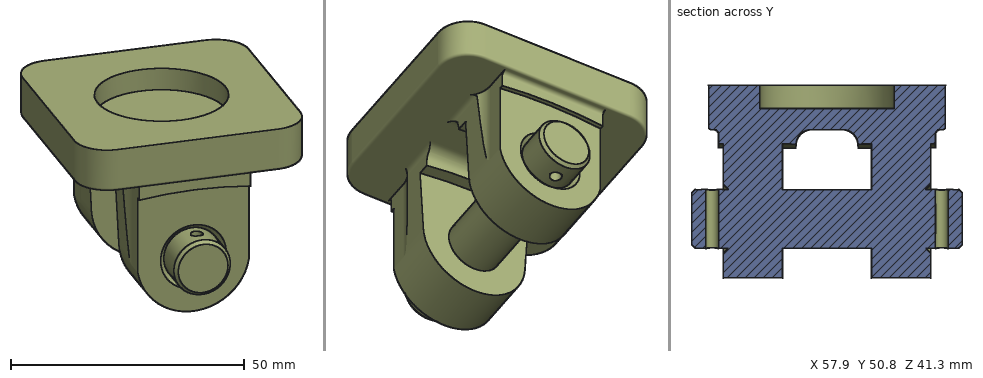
import cadquery as cq
import math


PLATE_SIDE = 50.8
PLATE_CORNER_RADIUS = 7.35
PLATE_BOTTOM = 19.05
PLATE_TOP = 28.6
PLATE_EDGE_RADIUS = 0.65
POCKET_DIAMETER = 28.7
POCKET_DEPTH = 5.0

PIN_DIAMETER = 12.7
PIN_LENGTH = 57.9
PIN_END_DIAMETER = 11.2
PIN_CHAMFER_LENGTH = (PIN_DIAMETER - PIN_END_DIAMETER) / 2
CROSS_HOLE_DIAMETER = 2.65
CROSS_HOLE_X = 24.55

LUG_RADIUS = 12.7
LUG_DRAFT = math.radians(3)
LUG_INNER_X = 9.5
LUG_OUTER_X = 22.25
LUG_ROOT_FILLET = 1.0
BORE_CHAMFER = 1.05

SHOULDER_OUTER_X = 23.2
SHOULDER_CROWN_Z = 16.0
SHOULDER_ARC_RADIUS = 100.0

ARCH_HALF_WIDTH = 6.6
ARCH_CORNER_RADIUS = 3.3
ARCH_DRAFT = math.radians(5)

FLAT_HALF_WIDTH = 12.5
FLAT_START_X = 18.05
FLAT_CUTTER_RADIUS = 5.8

CLEARANCE = 5.8


def mounting_plate():
    plate = (
        cq.Workplane("XY")
        .workplane(offset=PLATE_BOTTOM)
        .rect(PLATE_SIDE, PLATE_SIDE)
        .extrude(PLATE_TOP - PLATE_BOTTOM)
        .edges("|Z")
        .fillet(PLATE_CORNER_RADIUS)
    )
    return plate.faces("<Z").edges().fillet(PLATE_EDGE_RADIUS)


def tongue():
    """Round-ended bar across the full shoulder width, from which both lugs are cut."""
    tangent_y = LUG_RADIUS * math.cos(LUG_DRAFT)
    tangent_z = -LUG_RADIUS * math.sin(LUG_DRAFT)
    root_y = tangent_y + (PLATE_BOTTOM - tangent_z) * math.tan(LUG_DRAFT)
    return (
        cq.Workplane("YZ")
        .moveTo(-root_y, PLATE_BOTTOM)
        .lineTo(-tangent_y, tangent_z)
        .threePointArc((0, -LUG_RADIUS), (tangent_y, tangent_z))
        .lineTo(root_y, PLATE_BOTTOM)
        .close()
        .extrude(SHOULDER_OUTER_X, both=True)
    )


def root_edges(body):
    """Edges where the tongue meets the underside of the plate."""
    margin = 0.05
    reach = SHOULDER_OUTER_X + margin
    box = cq.selectors.BoxSelector(
        (-reach, -reach, PLATE_BOTTOM - margin),
        (reach, reach, PLATE_BOTTOM + margin),
        boundingbox=True,
    )
    return body.edges(box)


def shoulder_relief(start_x, end_x):
    """Clears everything below the arched underside of the shoulders between two X positions."""
    half_width = LUG_RADIUS + CLEARANCE
    floor_z = -LUG_RADIUS - CLEARANCE
    sag = SHOULDER_ARC_RADIUS - math.sqrt(SHOULDER_ARC_RADIUS**2 - half_width**2)
    side_z = SHOULDER_CROWN_Z - sag
    return (
        cq.Workplane("YZ")
        .workplane(offset=start_x)
        .moveTo(-half_width, floor_z)
        .lineTo(-half_width, side_z)
        .threePointArc((0, SHOULDER_CROWN_Z), (half_width, side_z))
        .lineTo(half_width, floor_z)
        .close()
        .extrude(end_x - start_x)
    )


def arch():
    """Drafted opening with rounded upper corners, running along Y under the plate."""
    bottom_z = SHOULDER_CROWN_Z - CLEARANCE
    top_z = PLATE_BOTTOM
    lean = math.tan(ARCH_DRAFT)
    bottom_x = ARCH_HALF_WIDTH + (SHOULDER_CROWN_Z - bottom_z) * lean
    top_x = ARCH_HALF_WIDTH - (top_z - SHOULDER_CROWN_Z) * lean
    return (
        cq.Workplane("XZ")
        .polyline([(-bottom_x, bottom_z), (bottom_x, bottom_z), (top_x, top_z), (-top_x, top_z)])
        .close()
        .extrude(PLATE_SIDE / 2, both=True)
        .faces(">Z")
        .edges("|Y")
        .fillet(ARCH_CORNER_RADIUS)
    )


def flat_cutter(x_side, y_side):
    """Upright milling cut that ends in a round run-out of the cutter radius."""
    cutter_y = FLAT_HALF_WIDTH + FLAT_CUTTER_RADIUS
    end_x = SHOULDER_OUTER_X + CLEARANCE
    floor_z = -LUG_RADIUS - CLEARANCE
    profile = (
        cq.Workplane("XY")
        .workplane(offset=floor_z)
        .moveTo(x_side * FLAT_START_X, y_side * FLAT_HALF_WIDTH)
        .lineTo(x_side * end_x, y_side * FLAT_HALF_WIDTH)
        .lineTo(x_side * end_x, y_side * cutter_y)
        .lineTo(x_side * (FLAT_START_X - FLAT_CUTTER_RADIUS), y_side * cutter_y)
        .radiusArc(
            (x_side * FLAT_START_X, y_side * FLAT_HALF_WIDTH),
            -x_side * y_side * FLAT_CUTTER_RADIUS,
        )
        .close()
    )
    return profile.extrude(PLATE_BOTTOM - floor_z)


def bore_chamfer(x_side):
    """Cone that breaks the edge of the pin bore on the outer face of one lug."""
    pin_radius = PIN_DIAMETER / 2
    face_x = x_side * LUG_OUTER_X
    inner_x = x_side * (LUG_OUTER_X - BORE_CHAMFER)
    return (
        cq.Workplane("XY")
        .moveTo(inner_x, 0)
        .lineTo(inner_x, pin_radius)
        .lineTo(face_x, pin_radius + BORE_CHAMFER)
        .lineTo(face_x, 0)
        .close()
        .revolve(360, (0, 0), (1, 0))
    )


def pin():
    end_x = PIN_LENGTH / 2
    shank_x = end_x - PIN_CHAMFER_LENGTH
    radius = PIN_DIAMETER / 2
    end_radius = PIN_END_DIAMETER / 2
    body = (
        cq.Workplane("XY")
        .moveTo(-end_x, 0)
        .lineTo(-end_x, end_radius)
        .lineTo(-shank_x, radius)
        .lineTo(shank_x, radius)
        .lineTo(end_x, end_radius)
        .lineTo(end_x, 0)
        .close()
        .revolve(360, (0, 0), (1, 0))
    )
    cross_holes = (
        cq.Workplane("XY")
        .pushPoints([(-CROSS_HOLE_X, 0), (CROSS_HOLE_X, 0)])
        .circle(CROSS_HOLE_DIAMETER / 2)
        .extrude(PIN_DIAMETER, both=True)
    )
    return body.cut(cross_holes)


def clevis():
    body = mounting_plate().union(tongue())
    body = root_edges(body).fillet(LUG_ROOT_FILLET)
    body = body.cut(shoulder_relief(-LUG_INNER_X, LUG_INNER_X))
    body = body.cut(arch())
    outer_end_x = SHOULDER_OUTER_X + CLEARANCE
    for x_side in (-1, 1):
        body = body.cut(shoulder_relief(x_side * LUG_OUTER_X, x_side * outer_end_x))
        body = body.cut(bore_chamfer(x_side))
        for y_side in (-1, 1):
            body = body.cut(flat_cutter(x_side, y_side))
    pocket = (
        cq.Workplane("XY")
        .workplane(offset=PLATE_TOP - POCKET_DEPTH)
        .circle(POCKET_DIAMETER / 2)
        .extrude(POCKET_DEPTH)
    )
    return body.cut(pocket)


result = clevis().union(pin())